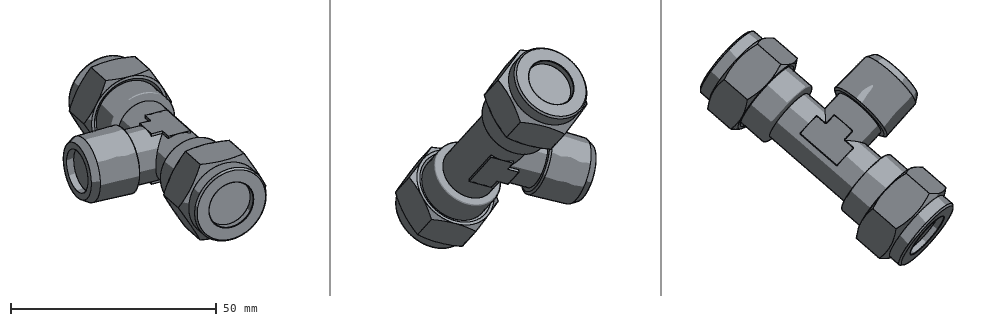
import cadquery as cq
import math

overall_length = 66
tube_radius = 7.0

hex_across_flats = 21.0
hex_inner_x = 19.7
hex_outer_x = 29.5
collar_radius = 9.9
collar_chamfer = 0.45
socket_radius = 6.1
socket_depth = 1.65
socket_chamfer = 0.1
nut_recess_radius = 9.7

sleeve_radius = 9.0
sleeve_inner_x = 12.5
sleeve_edge_fillet = 0.4
sleeve_face_angle = 10

branch_end_y = 24.95
branch_collar_y = 11.95
branch_back_chamfer = 0.4
branch_back_radius = 8.0
branch_large_radius = 8.65
branch_small_radius = 8.4
branch_tip_chamfer = 1.9
branch_bore_radius = 5.55
branch_bore_depth = 2.0

pad_half_width = 6.1

cone_slope = math.tan(math.radians(30))

end_x = overall_length / 2
hex_apothem = hex_across_flats / 2
hex_corner_radius = hex_apothem / math.cos(math.radians(30))


def revolve_about_x(profile):
    """Turn a closed (x, radius) profile around the X axis."""
    return cq.Workplane("XY").polyline(profile).close().revolve(360, (0, 0, 0), (1, 0, 0))


def make_nut():
    """Hexagonal nut with coned ends and a countersunk inner face."""
    hexagon = (
        cq.Workplane("YZ", origin=(hex_inner_x, 0, 0))
        .polygon(6, 2 * hex_corner_radius)
        .extrude(hex_outer_x - hex_inner_x)
    )
    inner_cone_length = (hex_corner_radius - hex_apothem) * cone_slope
    outer_cone_length = (hex_corner_radius - collar_radius) * cone_slope
    recess_depth = (nut_recess_radius - sleeve_radius) * cone_slope
    envelope = revolve_about_x([
        (hex_inner_x + recess_depth, 0),
        (hex_inner_x + recess_depth, sleeve_radius),
        (hex_inner_x, nut_recess_radius),
        (hex_inner_x, hex_apothem),
        (hex_inner_x + inner_cone_length, hex_corner_radius),
        (hex_outer_x - outer_cone_length, hex_corner_radius),
        (hex_outer_x, collar_radius),
        (hex_outer_x, 0),
    ])
    return hexagon.intersect(envelope)


def make_sleeve():
    """Sleeve between tube and nut, with a shallow coned face and a rounded rim."""
    face_rise = (sleeve_radius - tube_radius) * math.tan(math.radians(sleeve_face_angle))
    sleeve = revolve_about_x([
        (sleeve_inner_x, 0),
        (sleeve_inner_x, tube_radius),
        (sleeve_inner_x + face_rise, sleeve_radius),
        (hex_outer_x, sleeve_radius),
        (hex_outer_x, 0),
    ])
    widest_edges = sleeve.edges(cq.selectors.RadiusNthSelector(-1))
    return widest_edges.edges("<X").fillet(sleeve_edge_fillet)


def make_collar():
    """Round collar on the outer side of the nut."""
    return (
        cq.Workplane("YZ", origin=(hex_outer_x, 0, 0))
        .circle(collar_radius)
        .extrude(end_x - hex_outer_x)
        .faces(">X")
        .chamfer(collar_chamfer)
    )


def make_compression_end():
    """Sleeve, nut and collar of the +X end, with its blind tube socket."""
    socket = revolve_about_x([
        (end_x - socket_depth, 0),
        (end_x - socket_depth, socket_radius),
        (end_x - socket_chamfer, socket_radius),
        (end_x, socket_radius + socket_chamfer),
        (end_x, 0),
    ])
    return make_sleeve().union(make_nut()).union(make_collar()).cut(socket)


def make_tube():
    """Straight tube that joins the two compression ends."""
    return (
        cq.Workplane("YZ", origin=(-sleeve_inner_x, 0, 0))
        .circle(tube_radius)
        .extrude(2 * sleeve_inner_x)
    )


def make_branch():
    """Neck and tapered spigot on the -Y side."""
    tip_radius = branch_small_radius - branch_tip_chamfer * cone_slope
    return (
        cq.Workplane("XY")
        .polyline([
            (0, 0),
            (tube_radius, 0),
            (tube_radius, -branch_collar_y),
            (branch_back_radius, -branch_collar_y),
            (branch_large_radius, -branch_collar_y - branch_back_chamfer),
            (branch_small_radius, -branch_end_y + branch_tip_chamfer),
            (tip_radius, -branch_end_y),
            (0, -branch_end_y),
        ])
        .close()
        .revolve(360, (0, 0, 0), (0, 1, 0))
    )


def make_branch_bore():
    """Blind bore in the branch end."""
    return (
        cq.Workplane("XZ", origin=(0, -branch_end_y, 0))
        .circle(branch_bore_radius)
        .extrude(-branch_bore_depth)
    )


def make_pads():
    """T-shaped block whose top and bottom are flush with the tube crest."""
    bar_half_depth = pad_half_width / 2
    stem_half_width = pad_half_width / 2
    return (
        cq.Workplane("XY", origin=(0, 0, -tube_radius))
        .polyline([
            (-pad_half_width, bar_half_depth),
            (pad_half_width, bar_half_depth),
            (pad_half_width, -bar_half_depth),
            (stem_half_width, -bar_half_depth),
            (stem_half_width, -pad_half_width),
            (-stem_half_width, -pad_half_width),
            (-stem_half_width, -bar_half_depth),
            (-pad_half_width, -bar_half_depth),
        ])
        .close()
        .extrude(2 * tube_radius)
    )


right_end = make_compression_end()
left_end = right_end.mirror("YZ")
junction = make_tube().union(make_branch()).union(make_pads())
result = junction.union(right_end).union(left_end).cut(make_branch_bore())